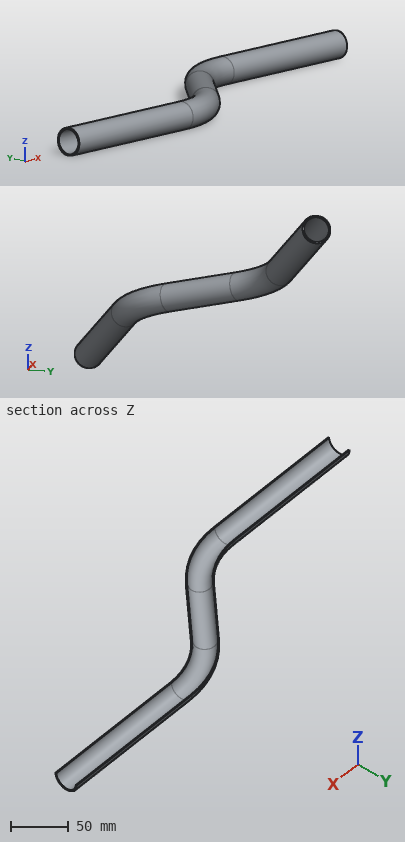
import cadquery as cq
import math

length = 470.0
outer_diameter = 25.0
wall = 1.5
overall_width = 125.0
end_length = 150.0
bend_angle = math.radians(45)

offset = overall_width - outer_diameter
bent_span = length - 2 * end_length
sine = math.sin(bend_angle)
cosine = math.cos(bend_angle)

bend_radius = (bent_span * sine - offset * cosine) / (2 * (1 - cosine))


def bend_point(angle):
    """Point on the first bend, with the centreline midpoint at the origin."""
    x = -bent_span / 2 + bend_radius * math.sin(angle)
    y = -offset / 2 + bend_radius * (1 - math.cos(angle))
    return x, y


def opposite(point):
    """Matching point on the second half, half a turn about the origin."""
    return -point[0], -point[1]


bend_start = bend_point(0)
bend_middle = bend_point(bend_angle / 2)
bend_end = bend_point(bend_angle)
tube_start = (-length / 2, -offset / 2)

centreline = (
    cq.Workplane("XY")
    .moveTo(*tube_start)
    .lineTo(*bend_start)
    .threePointArc(bend_middle, bend_end)
    .lineTo(*opposite(bend_end))
    .threePointArc(opposite(bend_middle), opposite(bend_start))
    .lineTo(*opposite(tube_start))
)

outer_radius = outer_diameter / 2
inner_radius = outer_radius - wall
result = (
    cq.Workplane("YZ", origin=(*tube_start, 0))
    .circle(outer_radius)
    .circle(inner_radius)
    .sweep(centreline)
)